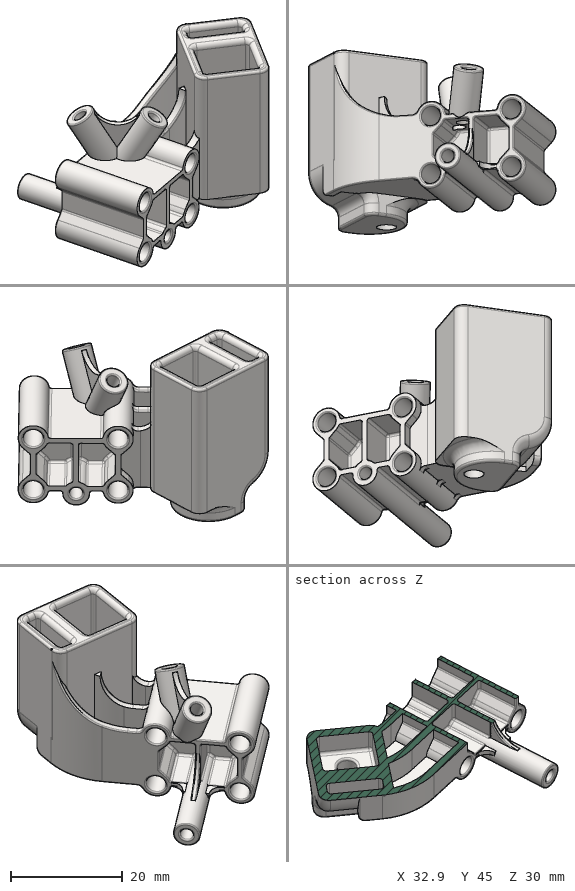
import cadquery as cq
import math

MANIFOLD_ANGLE = 30.0
BOX_ANGLE = -45.0

WALL = 1.0
EDGE_ROUND = 0.23

TUBE_LENGTH = 17.5
TUBE_DIA = 5.4
TUBE_BORE = 3.6
TUBE_HALF_SPAN_Y = 7.6
UPPER_TUBE_Z = 5.4
LOWER_TUBE_Z = -5.3
BORE_ROUND = 0.25

PLATE_Z = 5.0
PLATE_FILLET = 0.5
CELL_END_FILLET = 0.45

THIN_DIA = 4.8
THIN_BORE = 2.4
LONG_TUBE_REACH = 13.15
LONG_TUBE_Y = 0.1
LONG_TUBE_Z = -6.05
SIDE_GUSSET_RADIUS = 2.4
WEB_GUSSET_RADIUS = 6.0

SLANT_TILT = 30.0
SLANT_PLAN_ANGLE = 30.0
SLANT_CROSSING = (4.55, 3.35, 1.65)
SLANT_LENGTH = 13.5
SLANT_BORE_START = 2.25
SLANT_RIB_RADIUS = 4.7

BOX_LEFT = -16.4
BOX_WIDTH = 18.45
BOX_FRONT = 19.9
BOX_DEPTH = 13.65
BOX_TOP = 20.05
BOX_CORNER = 2.0
BOX_EDGE_ROUND = 0.5
BELLY_RADIUS = 6.0

NECK_BOTTOM = -9.95
NECK_STRAIGHT = 3.5
NECK_FILLET = 2.0

BOX_WALL = 1.75
DIVIDER = 3.4
SMALL_POCKET_WIDTH = 2.65
POCKET_CORNER = 0.65
POCKET_RIM_ROUND = 1.0
POCKET_FLOOR_ROUND = 0.6
DRAIN_DIA = 3.6
DRAIN_FROM_LEFT = 12.95
DRAIN_ROUND = 0.4

ELBOW_RADIUS = 14.0
ELBOW_WALL = 1.5
ELBOW_HALF_HEIGHT = 5.9
TAIL_LENGTH = 4.32
TAIL_ROUND = 1.35
FLARE_RADIUS = 1.2
OUTER_SWEEP_START = 12.8
OUTER_SWEEP_RADIUS = 14.0
MID_WALL_X = 7.03
MID_SWEEP_START = 12.9
MID_SWEEP_RADIUS = 6.0
INNER_WALL_X = 13.95
INNER_SWEEP_START = 11.1
INNER_SWEEP_RADIUS = 3.0
WALL_RIM_ROUND = 0.3

TUBE_R = TUBE_DIA / 2
THIN_R = THIN_DIA / 2
BOX_BACK = BOX_FRONT + BOX_DEPTH
BOX_RIGHT = BOX_LEFT + BOX_WIDTH
BOX_MIDDLE = (BOX_FRONT + BOX_BACK) / 2
BOX_FLOOR = -BELLY_RADIUS
NECK_LEFT = BOX_LEFT + BELLY_RADIUS
POCKET_FLOOR = BOX_FLOOR + BOX_WALL
PLATE_TOP = PLATE_Z + WALL / 2
BEYOND = 90.1
NEAR = 0.023

SIDES = (-1, 1)
TUBE_CENTRES = [
    (side * TUBE_HALF_SPAN_Y, z) for side in SIDES for z in (LOWER_TUBE_Z, UPPER_TUBE_Z)
]


def turned(solid, angle):
    return solid.rotate((0, 0, 0), (0, 0, 1), angle)


def tube(x_start, length, y, z, dia):
    """Solid cylinder parallel to X."""
    return cq.Workplane("YZ", origin=(x_start, y, z)).circle(dia / 2).extrude(length)


def bore(x_start, length, y, z, dia):
    """Hole along X with rounded mouths at both ends."""
    r = BORE_ROUND
    edge = dia / 2
    return (
        cq.Workplane("XY", origin=(x_start, y, z))
        .moveTo(0, 0)
        .lineTo(0, edge + r)
        .radiusArc((r, edge), -r)
        .lineTo(length - r, edge)
        .radiusArc((length, edge + r), -r)
        .lineTo(length, 0)
        .close()
        .revolve(360, (0, 0, 0), (1, 0, 0))
    )


def smoothed(prism, radius):
    """Prism along X remade from its end outline offset by `radius` and back.

    A positive radius rounds the inside corners, a negative one the outside corners.
    """
    outline = prism.faces("<X").wires().val()
    start = outline.Center().x
    length = prism.val().BoundingBox().xlen
    flat = cq.Workplane("YZ", origin=(start, 0, 0)).add(outline).toPending()
    return flat.offset2D(radius).offset2D(-radius).extrude(length)


def tube_solids():
    """The tubes, each large one with 45 degree flanks running down to the side plates."""
    flank = TUBE_R / math.sqrt(2)
    solids = tube(0, TUBE_LENGTH, LONG_TUBE_Y, LONG_TUBE_Z, THIN_DIA)
    for y, z in TUBE_CENTRES:
        way = -math.copysign(1, z)
        wedge = (
            cq.Workplane("YZ", origin=(0, y, z))
            .polyline([(-flank, way * flank), (0, way * 2 * flank), (flank, way * flank), (0, 0)])
            .close()
            .extrude(TUBE_LENGTH)
        )
        solids = solids.union(tube(0, TUBE_LENGTH, y, z, TUBE_DIA)).union(wedge)
    return solids


def cell(side, tubes):
    """Opening between the middle web and one side plate, along the whole manifold."""
    width = TUBE_HALF_SPAN_Y - WALL
    opening = cq.Workplane("XY").box(
        TUBE_LENGTH, width, 2 * PLATE_Z - WALL, centered=(False, True, True)
    )
    opening = opening.translate((0, side * TUBE_HALF_SPAN_Y / 2, 0)).cut(tubes)
    return smoothed(opening, -PLATE_FILLET)


def manifold():
    """Tubes and plates, with blind cells from both ends up to a centre wall."""
    tubes = tube_solids()
    body = cq.Workplane("YZ").rect(2 * TUBE_HALF_SPAN_Y + WALL, 2 * PLATE_TOP).extrude(TUBE_LENGTH)
    body = smoothed(body.union(tubes), PLATE_FILLET)
    depth = (TUBE_LENGTH - WALL) / 2
    for side in SIDES:
        opening = cell(side, tubes)
        for start, inner_end in ((0, ">X"), (TUBE_LENGTH - depth, "<X")):
            block = cq.Workplane("YZ", origin=(start, 0, 0)).rect(BEYOND, BEYOND).extrude(depth)
            pocket_tool = opening.intersect(block)
            body = body.cut(pocket_tool.faces(inner_end).edges().fillet(CELL_END_FILLET))
    return body


def long_tube():
    """Thin tube standing out of the manifold, with a gusset above it and one on each side."""
    web_r = WEB_GUSSET_RADIUS
    base = LONG_TUBE_Z + THIN_R
    web = (
        cq.Workplane("XZ", origin=(0, WALL / 2, 0))
        .moveTo(-web_r, base)
        .radiusArc((0, base + web_r), -web_r)
        .lineTo(0, LONG_TUBE_Z)
        .lineTo(-web_r, LONG_TUBE_Z)
        .close()
        .extrude(WALL)
        .edges("%CIRCLE")
        .fillet(EDGE_ROUND)
    )
    side_r = SIDE_GUSSET_RADIUS
    side = (
        cq.Workplane("XY", origin=(0, 0, -PLATE_TOP))
        .moveTo(-side_r, THIN_R)
        .radiusArc((0, THIN_R + side_r), -side_r)
        .lineTo(0, 0)
        .lineTo(-side_r, 0)
        .close()
        .extrude(WALL)
    )
    length = LONG_TUBE_REACH + THIN_R
    barrel = tube(-LONG_TUBE_REACH, length, LONG_TUBE_Y, LONG_TUBE_Z, THIN_DIA)
    barrel = barrel.faces("<X").edges().fillet(EDGE_ROUND)
    return barrel.union(web).union(side).union(side.mirror("XZ"))


def slant_axis(lean):
    tilt = math.radians(SLANT_TILT)
    return cq.Vector(lean * math.sin(tilt), 0, math.cos(tilt))


def slant_plane(start, lean):
    """Plane square to a slanted axis, at a distance from the crossing point."""
    axis = slant_axis(lean)
    return cq.Plane(origin=axis * start, xDir=(0, 1, 0), normal=axis)


def placed_slant(solid):
    return turned(solid, SLANT_PLAN_ANGLE).translate(SLANT_CROSSING)


def slanted_bore(lean):
    """Bore of a slanted tube with a rounded mouth, open through the top plate."""
    edge = THIN_BORE / 2
    depth = SLANT_LENGTH - SLANT_BORE_START
    mouth_start = SLANT_LENGTH - BORE_ROUND
    hole = cq.Workplane(slant_plane(SLANT_LENGTH, lean)).circle(edge).extrude(-depth)
    mouth = (
        cq.Workplane(slant_plane(mouth_start, lean))
        .circle(edge + BORE_ROUND)
        .extrude(BORE_ROUND)
    )
    axis = slant_axis(lean)
    lip = cq.Solid.makeTorus(edge + BORE_ROUND, BORE_ROUND, axis * mouth_start, axis)
    return placed_slant(hole.union(mouth.cut(cq.Workplane(lip))))


def slanted_rib():
    """Rib in the vee between the tubes, with its arc tangent to both."""
    rise = math.sin(math.radians(SLANT_TILT))
    run = math.cos(math.radians(SLANT_TILT))
    arc_z = (TUBE_R + SLANT_RIB_RADIUS) / rise
    touch = (SLANT_RIB_RADIUS * run, arc_z - SLANT_RIB_RADIUS * rise)
    return (
        cq.Workplane("XZ", origin=(0, WALL / 2, 0))
        .moveTo(-touch[0], touch[1])
        .threePointArc((0, arc_z - SLANT_RIB_RADIUS), touch)
        .lineTo(0, 0)
        .close()
        .extrude(WALL)
    )


def slanted_tubes():
    """Both tubes and their rib, ending at the underside of the top plate."""
    pair = slanted_rib()
    for lean in SIDES:
        barrel = cq.Workplane(slant_plane(0, lean)).circle(TUBE_R).extrude(SLANT_LENGTH)
        far_end = cq.selectors.DirectionMinMaxSelector(slant_axis(lean))
        pair = pair.union(barrel.faces(far_end).edges().fillet(EDGE_ROUND))
    underside = cq.Workplane("XY", origin=(0, 0, PLATE_TOP - WALL))
    above = underside.rect(BEYOND, BEYOND).extrude(BEYOND)
    return placed_slant(pair).intersect(above)


def box_body():
    """Box with the belly round and the straight part of the neck in one outline."""
    centre_gap = BELLY_RADIUS + NECK_FILLET
    drop = math.sqrt(centre_gap**2 - NECK_FILLET**2)
    share = BELLY_RADIUS / centre_gap
    neck_end = NECK_LEFT + NECK_STRAIGHT
    body = (
        cq.Workplane("XZ", origin=(0, BOX_BACK, 0))
        .moveTo(BOX_LEFT, 0)
        .radiusArc((NECK_LEFT - NECK_FILLET * share, -drop * share), -BELLY_RADIUS)
        .radiusArc((NECK_LEFT, -drop), NECK_FILLET)
        .lineTo(NECK_LEFT, NECK_BOTTOM)
        .lineTo(neck_end, NECK_BOTTOM)
        .lineTo(neck_end, BOX_FLOOR)
        .lineTo(BOX_RIGHT, BOX_FLOOR)
        .lineTo(BOX_RIGHT, BOX_TOP)
        .lineTo(BOX_LEFT, BOX_TOP)
        .close()
        .extrude(BOX_DEPTH)
    )
    left_side = cq.selectors.BoxSelector(
        (BOX_LEFT - 0.45, BOX_FRONT - 0.45, NECK_BOTTOM + 0.45),
        (NECK_LEFT + 0.45, BOX_BACK + 0.45, BOX_TOP - 0.45),
    )
    body = body.edges("not |Y").edges(left_side).fillet(BOX_CORNER)
    body = body.edges("|Z and >X").fillet(BOX_CORNER)
    body = body.union(neck_end_round(neck_end))
    body = body.faces("<Z").edges().fillet(BOX_EDGE_ROUND)
    return body.faces(">Z").edges().fillet(BOX_EDGE_ROUND)


def neck_end_round(x):
    """Half-round end of the neck, flared into the box floor."""
    r = BOX_DEPTH / 2
    clip = (
        cq.Workplane("XY", origin=(x, BOX_FRONT, NECK_BOTTOM))
        .rect(BOX_RIGHT - x, BOX_DEPTH, centered=False)
        .extrude(BOX_FLOOR - NECK_BOTTOM)
    )
    return (
        cq.Workplane("XZ", origin=(x, BOX_MIDDLE, 0))
        .moveTo(0, NECK_BOTTOM)
        .lineTo(r, NECK_BOTTOM)
        .lineTo(r, BOX_FLOOR - NECK_FILLET)
        .radiusArc((r + NECK_FILLET, BOX_FLOOR), NECK_FILLET)
        .lineTo(0, BOX_FLOOR)
        .close()
        .revolve(360, (0, 0, 0), (0, 1, 0))
        .intersect(clip)
    )


def pocket(left, right):
    return (
        cq.Workplane("XY", origin=((left + right) / 2, BOX_MIDDLE, POCKET_FLOOR))
        .rect(right - left, BOX_DEPTH - 2 * BOX_WALL)
        .extrude(BOX_TOP - POCKET_FLOOR)
        .edges("|Z")
        .fillet(POCKET_CORNER)
    )


def box_hollows():
    """Both pockets and the drain; the small pocket's floor follows the belly."""
    small_left = BOX_LEFT + BOX_WALL
    small_right = small_left + SMALL_POCKET_WIDTH
    belly = (
        cq.Workplane("XZ", origin=(NECK_LEFT, BOX_BACK, 0))
        .circle(BELLY_RADIUS - BOX_WALL)
        .extrude(BOX_DEPTH)
    )
    above = cq.Workplane("XY").rect(BEYOND, BEYOND).extrude(BOX_TOP)
    small = pocket(small_left, small_right).intersect(belly.union(above))
    big = pocket(small_right + DIVIDER, BOX_RIGHT - BOX_WALL)
    big = big.faces("<Z").edges().fillet(POCKET_FLOOR_ROUND)
    drain_x = BOX_LEFT + DRAIN_FROM_LEFT
    drain_r = DRAIN_DIA / 2
    drain = (
        cq.Workplane("XZ", origin=(drain_x, BOX_MIDDLE, 0))
        .moveTo(0, NECK_BOTTOM)
        .lineTo(drain_r, NECK_BOTTOM)
        .lineTo(drain_r, POCKET_FLOOR - DRAIN_ROUND)
        .radiusArc((drain_r + DRAIN_ROUND, POCKET_FLOOR), DRAIN_ROUND)
        .lineTo(0, POCKET_FLOOR)
        .close()
        .revolve(360, (0, 0, 0), (0, 1, 0))
    )
    return small.union(big).union(drain)


BEND_SETBACK = ELBOW_RADIUS * math.tan(math.radians(-BOX_ANGLE / 2))


def bend_centre(offset):
    """Centre of the bend of a wall whose outer face lies `offset` inside the elbow's."""
    corner_y = offset + (-BOX_LEFT - offset) * math.sqrt(2)
    return (offset + ELBOW_RADIUS, corner_y - BEND_SETBACK)


def on_bend(offset, depth, angle):
    """Point of a bend at a depth into the wall, turned from the start of the bend."""
    centre_x, centre_y = bend_centre(offset)
    r = ELBOW_RADIUS - depth
    a = math.radians(180 + angle)
    return (centre_x + r * math.cos(a), centre_y + r * math.sin(a))


def elbow_strip(offset, bottom, top, tail):
    """Plan of one elbow wall, extruded, with a straight tail along the box."""
    tail_step = tail / math.sqrt(2)
    bend_y = bend_centre(offset)[1]
    far_side = offset + ELBOW_WALL
    outer_end = on_bend(offset, 0, BOX_ANGLE)
    inner_end = on_bend(offset, ELBOW_WALL, BOX_ANGLE)
    strip = (
        cq.Workplane("XY", origin=(0, 0, bottom))
        .moveTo(offset, TUBE_HALF_SPAN_Y)
        .lineTo(offset, bend_y)
        .threePointArc(on_bend(offset, 0, BOX_ANGLE / 2), outer_end)
    )
    if tail:
        strip = strip.lineTo(outer_end[0] + tail_step, outer_end[1] + tail_step)
        strip = strip.lineTo(inner_end[0] + tail_step, inner_end[1] + tail_step)
    return (
        strip.lineTo(*inner_end)
        .threePointArc(on_bend(offset, ELBOW_WALL, BOX_ANGLE / 2), (far_side, bend_y))
        .lineTo(far_side, TUBE_HALF_SPAN_Y)
        .close()
        .extrude(top - bottom)
    )


def elbow_floor():
    """Floor between the outer and inner walls, from the tube to just under the box."""
    far_x = INNER_WALL_X + ELBOW_WALL / 2
    far_y = (BOX_FRONT + WALL) * math.sqrt(2) - far_x
    return (
        cq.Workplane("XY", origin=(0, 0, -ELBOW_HALF_HEIGHT))
        .moveTo(0, TUBE_HALF_SPAN_Y)
        .lineTo(0, bend_centre(0)[1])
        .threePointArc(on_bend(0, 0, BOX_ANGLE / 2), on_bend(0, 0, BOX_ANGLE))
        .lineTo(far_x, far_y)
        .lineTo(far_x, TUBE_HALF_SPAN_Y)
        .close()
        .extrude(WALL)
    )


def wall_shape(sweep_start, sweep_radius):
    """Side outline of an elbow wall: flared at the tube, level, then sweeping up to the box."""
    h = ELBOW_HALF_HEIGHT
    gap = TUBE_R + FLARE_RADIUS
    share = TUBE_R / gap
    top_rise = h - UPPER_TUBE_Z + FLARE_RADIUS
    low_drop = h + LOWER_TUBE_Z + FLARE_RADIUS
    top_run = math.sqrt(gap**2 - top_rise**2)
    low_run = math.sqrt(gap**2 - low_drop**2)
    middle = TUBE_HALF_SPAN_Y
    start = max(sweep_start, middle + top_run + 0.05)
    return (
        cq.Workplane("YZ", origin=(-BEYOND / 2, 0, 0))
        .moveTo(middle, UPPER_TUBE_Z)
        .lineTo(middle + top_run * share, UPPER_TUBE_Z + top_rise * share)
        .radiusArc((middle + top_run, h), -FLARE_RADIUS)
        .lineTo(start, h)
        .radiusArc((start + sweep_radius, h + sweep_radius), -sweep_radius)
        .lineTo(BEYOND, h + sweep_radius)
        .lineTo(BEYOND, -h)
        .lineTo(middle + low_run, -h)
        .radiusArc((middle + low_run * share, LOWER_TUBE_Z - low_drop * share), -FLARE_RADIUS)
        .lineTo(middle, LOWER_TUBE_Z)
        .close()
        .extrude(BEYOND)
    )


def elbow_wall(offset, sweep_start, sweep_radius, rounded_rim):
    """One elbow wall, optionally with a round along its inner top edge."""
    blank = elbow_strip(offset, -ELBOW_HALF_HEIGHT - TUBE_R, BOX_TOP, 0)
    wall = blank.intersect(wall_shape(sweep_start, sweep_radius))

    def on_inner_rim(edge):
        x, y, z = edge.positionAt(0.5).toTuple()
        centre_x, centre_y = bend_centre(offset)
        depth = ELBOW_RADIUS - math.hypot(x - centre_x, max(0, y - centre_y))
        on_inner_face = abs(depth - ELBOW_WALL) < NEAR
        upright = edge.BoundingBox().ylen < 2 * NEAR
        return z > ELBOW_HALF_HEIGHT - 2 * NEAR and on_inner_face and not upright

    if not rounded_rim:
        return wall
    return wall.edges().filter(on_inner_rim).fillet(WALL_RIM_ROUND)


def elbow():
    """Three walls, the floor, and the outer wall's tail running under the box side."""
    tail = elbow_strip(0, -ELBOW_HALF_HEIGHT, 0, TAIL_LENGTH)
    tail_end = cq.selectors.DirectionMinMaxSelector(cq.Vector(1, 1, 0))
    tail = tail.faces(tail_end).edges("<Z").fillet(TAIL_ROUND)
    solid = tail.union(elbow_floor())
    solid = solid.union(elbow_wall(0, OUTER_SWEEP_START, OUTER_SWEEP_RADIUS, True))
    solid = solid.union(elbow_wall(MID_WALL_X, MID_SWEEP_START, MID_SWEEP_RADIUS, True))
    return solid.union(elbow_wall(INNER_WALL_X, INNER_SWEEP_START, INNER_SWEEP_RADIUS, False))


def round_ends(body):
    """Round the outlines of both manifold ends, but not the seam where the elbow bends."""
    seam_y = bend_centre(0)[1] - 0.23
    near_end = body.faces("<X").edges().filter(lambda edge: edge.Center().y < seam_y)
    body = near_end.fillet(EDGE_ROUND)
    return body.faces(">X").edges().fillet(EDGE_ROUND)


def round_pocket_rims(body):
    top = body.faces(">Z").val()
    rims = [edge for rim in top.innerWires() for edge in rim.Edges()]
    return body.newObject(rims).fillet(POCKET_RIM_ROUND)


def cut_bores(body):
    for y, z in TUBE_CENTRES:
        body = body.cut(bore(0, TUBE_LENGTH, y, z, TUBE_BORE))
    long_bore = LONG_TUBE_REACH + TUBE_LENGTH
    body = body.cut(bore(-LONG_TUBE_REACH, long_bore, LONG_TUBE_Y, LONG_TUBE_Z, THIN_BORE))
    for lean in SIDES:
        body = body.cut(slanted_bore(lean))
    return body


part = round_ends(manifold().union(elbow()))
part = part.union(long_tube()).union(slanted_tubes())
part = part.union(turned(box_body(), BOX_ANGLE)).cut(turned(box_hollows(), BOX_ANGLE))
part = cut_bores(round_pocket_rims(part))
result = turned(part, MANIFOLD_ANGLE)